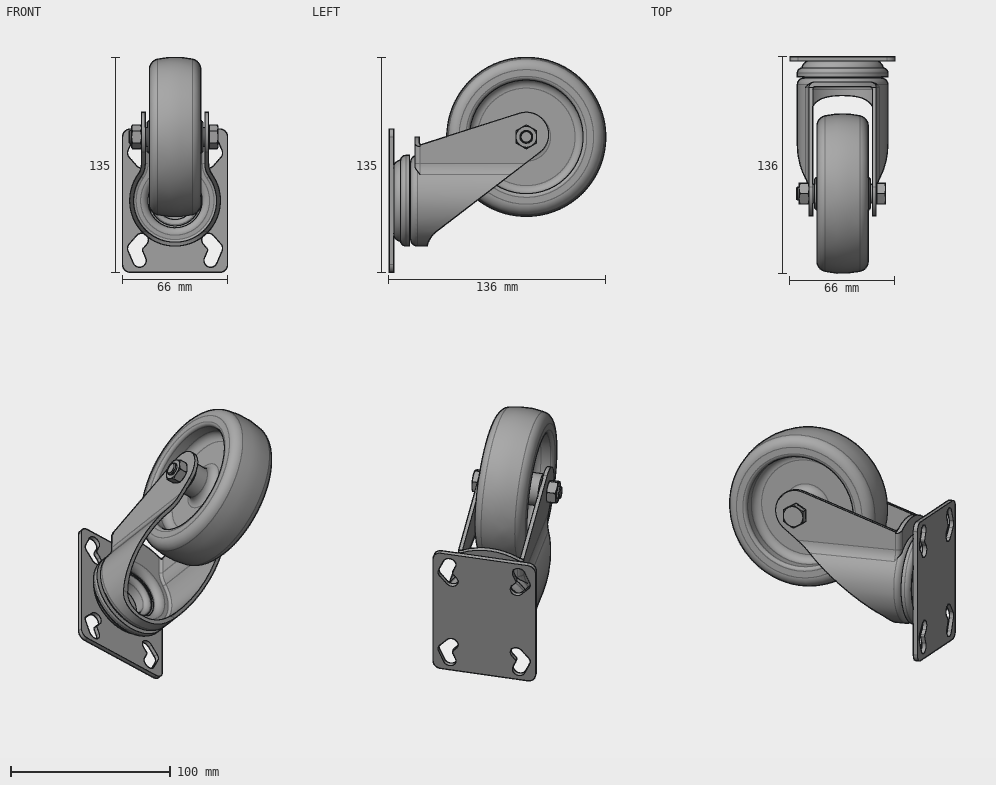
import cadquery as cq
import math


PLATE_WIDTH = 66.0
PLATE_HEIGHT = 90.0
PLATE_THICKNESS = 2.9
PLATE_CORNER_RADIUS = 5.0

SLOT_DIAMETER = 8.3
SLOT_INNER_END = (21.0, 24.6)
SLOT_ELBOW = (25.5, 29.9)
SLOT_OUTER_END = (22.3, 37.5)
SLOT_ELBOW_FILLET = 1.4

HEAD_RADIUS = 57.0 / 2
DOME_TOP_RADIUS = 22.2
DOME_MID_RADIUS = 24.3
DOME_MID_DEPTH = 4.5
DOME_BASE_RADIUS = 25.5
DOME_DEPTH = 7.1
RACE_DEPTH = 12.8
RACE_FILLET = 3.4
NECK_RADIUS = 24.2
NECK_BORE_RADIUS = 15.8
HEAD_BORE_RADIUS = 11.8
HEAD_BORE_FILLET = 3.3

SHEET = 2.5
DISH_DEPTH = 13.5
DISH_FILLET = 4.2
FLOOR_TOP_DEPTH = 16.0
FLOOR_DEPTH = 18.9
FLOOR_RADIUS = 40.0
FORK_INNER_HALF = 18.6
FORK_OUTER_HALF = FORK_INNER_HALF + SHEET
FLANK_BEND_RADIUS = 12.1
FLOOR_OUTER_FILLET = 3.3
FLOOR_INNER_FILLET = 1.6
FORK_HOLE_RADIUS = 17.0
FORK_HOLE_FILLET = 4.6
LEG_START_DEPTH = FLOOR_TOP_DEPTH + FLOOR_OUTER_FILLET
LEG_START_Z = 35.0
LEG_TIP_RADIUS = 14.0
LEG_TIP_RISE = 1.5
SKIRT_KNEE = (29.6, -19.3)
SKIRT_END_DEPTH = 23.8

WHEEL_RADIUS = 50.0
OVERALL_DEPTH = 136.0
AXLE_DEPTH = OVERALL_DEPTH - WHEEL_RADIUS
AXLE_Z = 40.0
TREAD_HALF = 16.2
TREAD_FILLET = 6.8
RIM_INNER_RADIUS = 35.6
RIM_FILLET = 2.3
WEB_HALF = 2.6
WEB_FILLET = 5.0
HUB_RADIUS = 20.4 / 2
HUB_HALF = 17.5
HUB_CHAMFER = 1.1

SLEEVE_DIAMETER = 12.0
BOLT_DIAMETER = 8.0
BOLT_END = 29.0
BOLT_CHAMFER = 0.7
HEX_FLATS = 13.0
HEX_CHAMFER = 0.5
NUT_END = 27.2
HEAD_END = 26.9
HEAD_WASHER_DIAMETER = 12.5
HEAD_WASHER_THICKNESS = 0.4


def disc(radius, start_depth, end_depth):
    """Disc about the swivel axis between two depths."""
    return cq.Workplane("XZ", origin=(0, -start_depth, 0)).circle(radius).extrude(end_depth - start_depth)


def axle_plane(x):
    """Plane normal to the axle, with its origin on the axle at the given X."""
    return cq.Workplane("YZ", origin=(x, -AXLE_DEPTH, AXLE_Z))


def slot_leg(start, end):
    """Straight round-ended piece of a slot, cutting through the plate."""
    run_x = end[0] - start[0]
    run_z = end[1] - start[1]
    length = math.hypot(run_x, run_z) + SLOT_DIAMETER
    angle = math.degrees(math.atan2(run_z, run_x))
    return (
        cq.Workplane("XZ")
        .center((start[0] + end[0]) / 2, (start[1] + end[1]) / 2)
        .slot2D(length, SLOT_DIAMETER, angle)
        .extrude(PLATE_THICKNESS)
    )


def mounting_slot():
    """Bent slot in the +X, +Z corner, with its inside elbow rounded."""
    slot = slot_leg(SLOT_INNER_END, SLOT_ELBOW).union(slot_leg(SLOT_ELBOW, SLOT_OUTER_END))
    inside = (SLOT_ELBOW[0] - SLOT_DIAMETER / 2, -PLATE_THICKNESS / 2, SLOT_ELBOW[1])
    return slot.edges("|Y").edges(cq.selectors.NearestToPointSelector(inside)).fillet(SLOT_ELBOW_FILLET)


def make_plate():
    """Rectangular plate with rounded corners and four bent slots."""
    plate = (
        cq.Workplane("XZ")
        .rect(PLATE_WIDTH, PLATE_HEIGHT)
        .extrude(PLATE_THICKNESS)
        .edges("|Y")
        .fillet(PLATE_CORNER_RADIUS)
    )
    right_top = mounting_slot()
    right_bottom = right_top.mirror("XY")
    for slot in (right_top, right_bottom):
        plate = plate.cut(slot).cut(slot.mirror("YZ"))
    return plate


def make_base():
    """Plate with the domed swivel head, race and neck."""
    dome = (
        cq.Workplane("XY")
        .moveTo(0, -PLATE_THICKNESS)
        .lineTo(DOME_TOP_RADIUS, -PLATE_THICKNESS)
        .threePointArc((DOME_MID_RADIUS, -DOME_MID_DEPTH), (DOME_BASE_RADIUS, -DOME_DEPTH))
        .lineTo(0, -DOME_DEPTH)
        .close()
        .revolve(360, (0, 0, 0), (0, 1, 0))
    )
    race = disc(HEAD_RADIUS, DOME_DEPTH, RACE_DEPTH).faces(">Y").edges().fillet(RACE_FILLET)
    bore = disc(HEAD_BORE_RADIUS, PLATE_THICKNESS, RACE_DEPTH)
    head = dome.union(race).cut(bore)
    bore_rim = cq.selectors.RadiusNthSelector(0)
    head = head.faces("<Y").edges(bore_rim).fillet(HEAD_BORE_FILLET)
    neck = disc(NECK_RADIUS, RACE_DEPTH, DISH_DEPTH).cut(disc(NECK_BORE_RADIUS, RACE_DEPTH, DISH_DEPTH))
    return make_plate().union(head).union(neck)


def fork_prism(inset, start_depth):
    """Keyhole-shaped prism: a round skirt whose flanks bend back into two parallel legs.

    It runs past the leg tips on both open sides, so that the fork envelope can trim it.
    """
    radius = HEAD_RADIUS - inset
    half = FORK_OUTER_HALF - inset
    bend = FLANK_BEND_RADIUS + inset
    bend_x = half + bend
    bend_z = math.sqrt((radius + bend) ** 2 - bend_x**2)
    toward_axis = math.atan2(bend_z, bend_x)
    skirt_x = radius * math.cos(toward_axis)
    skirt_z = radius * math.sin(toward_axis)
    mid_x = bend_x - bend * math.cos(toward_axis / 2)
    mid_z = bend_z - bend * math.sin(toward_axis / 2)
    top = AXLE_Z + 2 * LEG_TIP_RADIUS
    length = AXLE_DEPTH + 2 * LEG_TIP_RADIUS - start_depth
    return (
        cq.Workplane("XZ", origin=(0, -start_depth, 0))
        .moveTo(half, top)
        .lineTo(half, bend_z)
        .threePointArc((mid_x, mid_z), (skirt_x, skirt_z))
        .threePointArc((0, -radius), (-skirt_x, skirt_z))
        .threePointArc((-mid_x, mid_z), (-half, bend_z))
        .lineTo(-half, top)
        .close()
        .extrude(length)
    )


def tip_tangent(depth, z, side):
    """Point where a line from (depth, z) touches the leg tip arc; side is +1 above, -1 below."""
    to_point = math.atan2(z - AXLE_Z - LEG_TIP_RISE, depth - AXLE_DEPTH)
    distance = math.hypot(z - AXLE_Z - LEG_TIP_RISE, depth - AXLE_DEPTH)
    angle = to_point - side * math.acos(LEG_TIP_RADIUS / distance)
    return (
        AXLE_DEPTH + LEG_TIP_RADIUS * math.cos(angle),
        AXLE_Z + LEG_TIP_RISE + LEG_TIP_RADIUS * math.sin(angle),
    )


def fork_envelope():
    """Round floor plus the swept-back side outline of the legs and skirt."""
    upper = tip_tangent(LEG_START_DEPTH, LEG_START_Z, 1)
    lower = tip_tangent(*SKIRT_KNEE, -1)
    legs = (
        cq.Workplane("YZ")
        .moveTo(-LEG_START_DEPTH, -HEAD_RADIUS)
        .lineTo(-LEG_START_DEPTH, LEG_START_Z)
        .lineTo(-upper[0], upper[1])
        .threePointArc((-AXLE_DEPTH - LEG_TIP_RADIUS, AXLE_Z + LEG_TIP_RISE), (-lower[0], lower[1]))
        .lineTo(-SKIRT_KNEE[0], SKIRT_KNEE[1])
        .tangentArcPoint((-SKIRT_END_DEPTH, -HEAD_RADIUS), relative=False)
        .close()
        .extrude(HEAD_RADIUS, both=True)
    )
    return legs.union(disc(FLOOR_RADIUS, DISH_DEPTH, LEG_START_DEPTH))


def hexagon(start_x, end_x, chamfered_faces):
    """Hexagon prism on the axle with corners up and down and bevelled ends."""
    corner_diameter = HEX_FLATS / math.cos(math.pi / 6)
    bevel = (corner_diameter - HEX_FLATS) / 2
    length = end_x - start_x
    corners_upright = axle_plane(start_x).transformed(rotate=(0, 0, 90))
    prism = corners_upright.polygon(6, corner_diameter).extrude(length)
    turned = (
        axle_plane(start_x)
        .circle(corner_diameter / 2)
        .extrude(length)
        .faces(chamfered_faces)
        .edges()
        .chamfer(HEX_CHAMFER, bevel)
    )
    return prism.intersect(turned)


def make_axle():
    """Sleeve between the legs, threaded end and nut on -X, hexagon head on +X."""
    sleeve = axle_plane(-FORK_INNER_HALF).circle(SLEEVE_DIAMETER / 2).extrude(2 * FORK_INNER_HALF)
    bolt = axle_plane(-BOLT_END).circle(BOLT_DIAMETER / 2).extrude(BOLT_END).faces("<X").chamfer(BOLT_CHAMFER)
    washer_end = FORK_OUTER_HALF + HEAD_WASHER_THICKNESS
    washer = axle_plane(FORK_OUTER_HALF).circle(HEAD_WASHER_DIAMETER / 2).extrude(HEAD_WASHER_THICKNESS)
    nut = hexagon(-NUT_END, -FORK_OUTER_HALF, "|X")
    head = hexagon(washer_end, HEAD_END, ">X")
    return sleeve.union(bolt).union(nut).union(washer).union(head)


def make_fork():
    """Pressed fork with a raised dish, a rounded centre hole and the fixed axle."""
    shell = fork_prism(0, FLOOR_TOP_DEPTH).faces(">Y").edges().fillet(FLOOR_OUTER_FILLET)
    dish = disc(HEAD_RADIUS, DISH_DEPTH, LEG_START_DEPTH).faces(">Y").edges().fillet(DISH_FILLET)
    cavity = fork_prism(SHEET, FLOOR_DEPTH).faces(">Y").edges().fillet(FLOOR_INNER_FILLET)
    fork = shell.union(dish).cut(cavity).intersect(fork_envelope())
    hole_edge = FORK_HOLE_RADIUS + FORK_HOLE_FILLET
    bend = FORK_HOLE_FILLET * (1 - math.sqrt(0.5))
    hole = (
        cq.Workplane("XY")
        .moveTo(0, -DISH_DEPTH)
        .lineTo(FORK_HOLE_RADIUS, -DISH_DEPTH)
        .lineTo(FORK_HOLE_RADIUS, FORK_HOLE_FILLET - FLOOR_DEPTH)
        .threePointArc((FORK_HOLE_RADIUS + bend, bend - FLOOR_DEPTH), (hole_edge, -FLOOR_DEPTH))
        .lineTo(0, -FLOOR_DEPTH)
        .close()
        .revolve(360, (0, 0, 0), (0, 1, 0))
    )
    return fork.cut(hole).union(make_axle())


def make_wheel():
    """Spherical tread with rounded shoulders, dished web on both sides and a hub bored for the sleeve."""
    corner_x = TREAD_HALF - TREAD_FILLET
    corner_radius = math.sqrt((WHEEL_RADIUS - TREAD_FILLET) ** 2 - corner_x**2)
    crown_angle = math.atan2(corner_radius, corner_x)
    shoulder_x = WHEEL_RADIUS * math.cos(crown_angle)
    shoulder_radius = WHEEL_RADIUS * math.sin(crown_angle)
    corner_mid_x = corner_x + TREAD_FILLET * math.cos(crown_angle / 2)
    corner_mid_radius = corner_radius + TREAD_FILLET * math.sin(crown_angle / 2)
    tread = (
        cq.Workplane("XY", origin=(0, -AXLE_DEPTH, AXLE_Z))
        .moveTo(-TREAD_HALF, 0)
        .lineTo(-TREAD_HALF, corner_radius)
        .threePointArc((-corner_mid_x, corner_mid_radius), (-shoulder_x, shoulder_radius))
        .threePointArc((0, WHEEL_RADIUS), (shoulder_x, shoulder_radius))
        .threePointArc((corner_mid_x, corner_mid_radius), (TREAD_HALF, corner_radius))
        .lineTo(TREAD_HALF, 0)
        .close()
        .revolve(360, (0, 0, 0), (1, 0, 0))
    )
    dish = (
        axle_plane(WEB_HALF)
        .circle(RIM_INNER_RADIUS)
        .circle(HUB_RADIUS)
        .extrude(TREAD_HALF - WEB_HALF)
        .faces("<X")
        .edges()
        .fillet(WEB_FILLET)
    )
    tread = tread.cut(dish).cut(dish.mirror("YZ"))
    rim = cq.selectors.RadiusNthSelector(-2)
    tread = tread.faces("|X").edges(rim).fillet(RIM_FILLET)
    hub = axle_plane(-HUB_HALF).circle(HUB_RADIUS).extrude(2 * HUB_HALF).faces("|X").chamfer(HUB_CHAMFER)
    bore = axle_plane(-HUB_HALF).circle(SLEEVE_DIAMETER / 2).extrude(2 * HUB_HALF)
    return tread.union(hub).cut(bore)


base = make_base()
fork = make_fork()
wheel = make_wheel()
result = cq.Compound.makeCompound([base.solids().val(), fork.solids().val(), wheel.solids().val()])